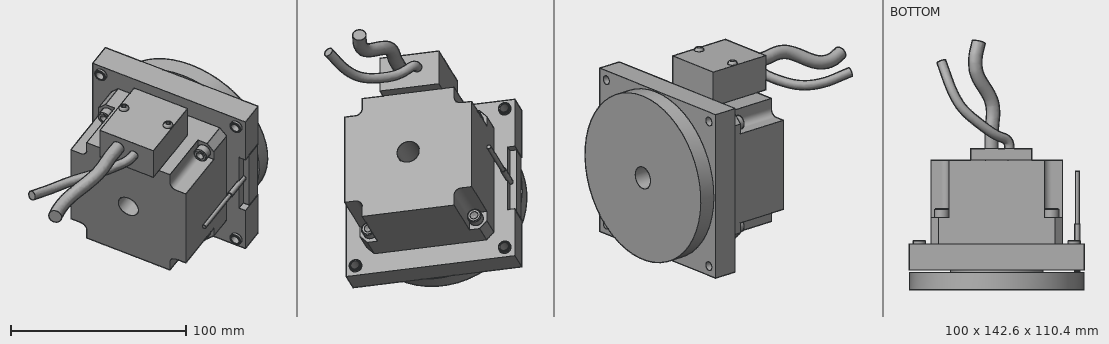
import cadquery as cq
import math


plate_side = 100.0
plate_thickness = 15.0
bore_radius = 6.5

plate_screw_offset = 44.2
plate_screw_radius = 3.5
plate_screw_height = 1.9
plate_screw_bore_radius = 2.5
plate_screw_chamfer = 0.3

table_radius = plate_side / 2
table_thickness = 10.0
table_gap = 1.3
hub_radius = 26.5

motor_side = 75.3
motor_length = 47.8
motor_chamfer = 4.4
corner_step_depth = 15.0

motor_screw_offset = 31.4
motor_screw_radius = 4.1
motor_screw_height = 5.1
motor_screw_chamfer = 0.5
motor_socket_radius = 2.3
motor_socket_depth = 2.3

box_width = 34.9
box_length = 40.0
box_height = 21.0
box_offset_x = 2.5
box_start = 14.3
box_end = box_start + box_length
box_bottom = motor_side / 2
box_top = box_bottom + box_height

lid_screw_spacing = 28.8
lid_screw_setback = 17.4
lid_screw_radius = 2.9
lid_screw_shoulder_radius = 2.3
lid_screw_shoulder_height = 1.1
lid_screw_height = 1.78
lid_socket_radius = 1.3
lid_socket_depth = 1.1

notch_floor_x = 45.8
notch_height = 39.9
sensor_block_edge_x = 49.6
sensor_block_setback = 5.0
sensor_x = 46.0
sensor_radius = 1.5
sensor_tip_height = 0.7
sensor_tail_length = 11.3
sensor_wire_radius = 1.21
sensor_wire_end = 41.5

power_cable_radius = 3.8
power_cable_sleeve_end = 61.9
power_cable_x = -3.0
power_cable_z = 50.9
power_cable_bends = [
    (-2.1, 73.0, 51.5),
    (-2.4, 79.1, 51.0),
    (-6.0, 87.5, 47.6),
    (-12.0, 99.6, 42.0),
    (-12.0, 107.8, 41.9),
    (-10.3, 115.2, 43.5),
]
signal_cable_radius = 2.7
signal_cable_points = [
    (7.3, box_end, 49.6),
    (2.1, 61.0, 45.2),
    (-10.3, 69.0, 38.3),
    (-20.4, 78.4, 35.9),
    (-26.4, 89.5, 36.8),
    (-31.6, 104.0, 40.8),
]

TOWARD_TABLE = cq.Vector(0, 1, 0)
TOWARD_CABLES = cq.Vector(0, -1, 0)


def block(x_range, y_range, z_range):
    """Box between the given limits along each axis."""
    size = [high - low for low, high in (x_range, y_range, z_range)]
    return cq.Workplane("XY", origin=(x_range[0], y_range[0], z_range[0])).box(*size, centered=False)


def square_block(side, y_range):
    """Box with a square section centred on the rotation axis."""
    half = side / 2
    return block((-half, half), y_range, (-half, half))


def rod(radius, y_start, y_end, x=0.0, z=0.0):
    """Cylinder parallel to the rotation axis."""
    base = cq.Vector(x, y_start, z)
    return cq.Workplane(cq.Solid.makeCylinder(radius, y_end - y_start, base, TOWARD_TABLE))


def corners(offset):
    """The four corner positions (x, z) at the given distance from both centre planes."""
    return [(sx * offset, sz * offset) for sx in (-1, 1) for sz in (-1, 1)]


def mounting_plate():
    return square_block(plate_side, (0, plate_thickness))


def plate_screw_head(x, z):
    head = rod(plate_screw_radius, -plate_screw_height, 0, x, z)
    return head.faces("<Y").edges().chamfer(plate_screw_chamfer)


def plate_screw_bore(x, z):
    return rod(plate_screw_bore_radius, -plate_screw_height, plate_thickness, x, z)


def corner_recess(x, z):
    """Square-sided recess in a motor corner, rounded around the screw axis."""
    reach = motor_side
    sx = math.copysign(1, x)
    sz = math.copysign(1, z)
    y_range = (-motor_length, -corner_step_depth)
    recess = rod(motor_screw_radius, *y_range, x, z)
    inner_x = x - sx * motor_screw_radius
    inner_z = z - sz * motor_screw_radius
    outer_x = x + sx * reach
    outer_z = z + sz * reach
    beside = block(sorted((x, outer_x)), y_range, sorted((inner_z, outer_z)))
    above = block(sorted((inner_x, outer_x)), y_range, sorted((z, outer_z)))
    return recess.union(beside).union(above)


def motor():
    body = square_block(motor_side, (-motor_length, 0)).edges("|Y").chamfer(motor_chamfer)
    for x, z in corners(motor_screw_offset):
        body = body.cut(corner_recess(x, z))
    return body


def motor_screw(x, z):
    """Cap screw head with a conical socket."""
    end = -corner_step_depth - motor_screw_height
    head = rod(motor_screw_radius, end, -corner_step_depth, x, z)
    head = head.faces("<Y").edges().chamfer(motor_screw_chamfer)
    mouth = cq.Vector(x, end, z)
    socket = cq.Solid.makeCone(motor_socket_radius, 0, motor_socket_depth, mouth, TOWARD_TABLE)
    return head.cut(cq.Workplane(socket))


def terminal_box():
    x_range = (box_offset_x - box_width / 2, box_offset_x + box_width / 2)
    return block(x_range, (-box_end, -box_start), (box_bottom, box_top))


def lid_screw(x):
    """Domed screw head whose top opens into a round socket."""
    shoulder = (lid_screw_shoulder_radius, lid_screw_shoulder_height)
    rim = (lid_socket_radius, lid_screw_height)
    profile = (
        cq.Workplane("XZ")
        .lineTo(lid_screw_radius, 0)
        .threePointArc(shoulder, rim)
        .lineTo(lid_socket_radius, lid_screw_height - lid_socket_depth)
        .lineTo(0, lid_screw_height - lid_socket_depth)
        .close()
    )
    head = profile.revolve(360, (0, 0, 0), (0, 1, 0))
    return head.translate((x, -box_start - lid_screw_setback, box_top))


def cable(radius, points):
    """Round cable along a smooth curve that starts straight out of the terminal box."""
    path_points = [cq.Vector(x, -distance, z) for x, distance, z in points]
    end_direction = path_points[-1] - path_points[-2]
    path = cq.Edge.makeSpline(path_points, tangents=[TOWARD_CABLES, end_direction])
    profile = cq.Workplane("XZ", origin=path_points[0].toTuple()).circle(radius)
    return profile.sweep(cq.Workplane(path))


def power_cable():
    sleeve = rod(power_cable_radius, -power_cable_sleeve_end, -box_end, power_cable_x, power_cable_z)
    bend_start = (power_cable_x, power_cable_sleeve_end, power_cable_z)
    return sleeve.union(cable(power_cable_radius, [bend_start] + power_cable_bends))


def sensor_notch():
    half = notch_height / 2
    return block((notch_floor_x, plate_side / 2), (0, plate_thickness), (-half, half))


def sensor_block():
    """Block that fills the notch, set back from the motor side and from the plate edge."""
    half = notch_height / 2
    return block(
        (notch_floor_x, sensor_block_edge_x), (sensor_block_setback, plate_thickness), (-half, half)
    )


def sensor():
    barrel = rod(sensor_radius, -sensor_tail_length, plate_thickness + sensor_tip_height, sensor_x)
    wire = rod(sensor_wire_radius, -sensor_wire_end, -sensor_tail_length, sensor_x)
    return barrel.union(wire)


def make_actuator():
    """Stationary body: plate, motor, terminal box, cables, screws and sensor."""
    body = mounting_plate().union(motor())
    body = body.cut(sensor_notch()).union(sensor_block()).union(sensor())
    for x, z in corners(plate_screw_offset):
        body = body.union(plate_screw_head(x, z)).cut(plate_screw_bore(x, z))
    for x, z in corners(motor_screw_offset):
        body = body.union(motor_screw(x, z))
    body = body.union(terminal_box())
    for side in (-1, 1):
        body = body.union(lid_screw(box_offset_x + side * lid_screw_spacing / 2))
    body = body.union(power_cable()).union(cable(signal_cable_radius, signal_cable_points))
    return body.cut(rod(bore_radius, -motor_length, plate_thickness))


def make_turntable():
    """Rotating disc on a hub that rests against the plate."""
    disc_start = plate_thickness + table_gap
    disc_end = disc_start + table_thickness
    disc = rod(table_radius, disc_start, disc_end)
    hub = rod(hub_radius, plate_thickness, disc_start)
    return disc.union(hub).cut(rod(bore_radius, plate_thickness, disc_end))


actuator = make_actuator()
turntable = make_turntable()

result = cq.Compound.makeCompound([actuator.solids().val(), turntable.solids().val()])